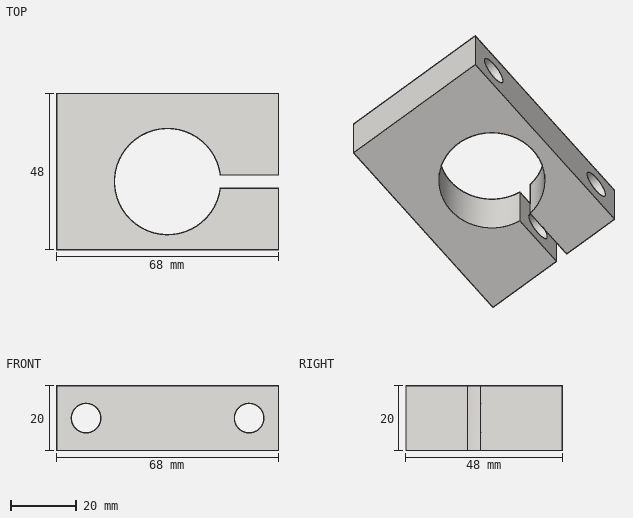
import cadquery as cq

length = 68.0
width = 48.0
height = 20.0

bore_diameter = 32.5
bore_offset_y = -3.05
slot_width = 4.0

bolt_hole_diameter = 9.0
bolt_spacing = 50.0


def make_block():
    return cq.Workplane("XY").box(length, width, height)


def make_bore():
    return (
        cq.Workplane("XY")
        .center(0, bore_offset_y)
        .circle(bore_diameter / 2)
        .extrude(height, both=True)
    )


def make_slot():
    return (
        cq.Workplane("XY")
        .center(length / 4, bore_offset_y)
        .rect(length / 2, slot_width)
        .extrude(height, both=True)
    )


def make_bolt_holes():
    return (
        cq.Workplane("XZ")
        .pushPoints([(side * bolt_spacing / 2, 0) for side in (-1, 1)])
        .circle(bolt_hole_diameter / 2)
        .extrude(width, both=True)
    )


result = make_block().cut(make_bore()).cut(make_slot()).cut(make_bolt_holes())